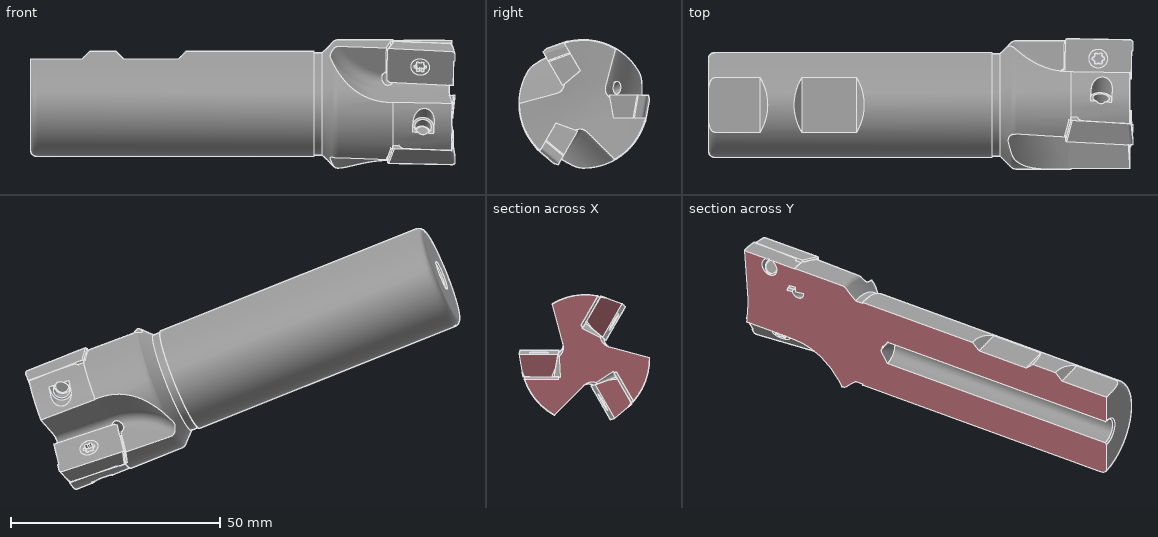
import cadquery as cq
import math

TOTAL_LENGTH = 101.5

SHANK_RADIUS = 12.6
SHANK_LENGTH = 67.8
SHANK_END_ROUND = 1.6
FLAT_HEIGHT = 10.8
END_FLAT_LENGTH = 12.4
MIDDLE_FLAT_START = 22.3
MIDDLE_FLAT_LENGTH = 13.1

BORE_RADIUS = 3.1
BORE_CHAMFER = 0.4
BORE_DEPTH = 60.9
BORE_TIP_ANGLE = 118.0
BRANCH_RADIUS = 1.4
BRANCH_START = (60.9, 1.2, 0.9)
BRANCH_DIRECTION = (20.0, 8.0, 3.5)
BRANCH_LENGTH = 24.4

NECK_RADIUS = 12.3
NECK_END = 69.8
HEAD_DIAMETER = 30.8
HEAD_RADIUS = HEAD_DIAMETER / 2
HEAD_EDGE_ROUND = 1.5
POCKET_ZONE_START = 86.7
RIM_RADIUS = 15.2
HEAD_END = 100.7
HEAD_DISH_DEPTH = 1.0

STATION_COUNT = 3
AXIAL_RAKE = 4.0
SCREW_Y = 11.1
FACE_HEIGHT = 1.5

GASH_STEP = 1.0
GASH_FILLET = 2.6
GASH_FILLET_Y = 7.9
GASH_WALL_ANGLE = 75.0
GASH_RUNOUT_RADIUS = 14.5
GASH_OUTER_Y = 20.3
GASH_TOP = 16.2

INSERT_REAR = 7.9
INSERT_FRONT = 8.0
INSERT_HALF_WIDTH = 4.7
INSERT_THICKNESS = 5.4
INSERT_YAW = 1.0
WIPER_LENGTH = 2.4
WIPER_STEP = 0.3
FRONT_CORNER_RADIUS = 0.8
REAR_CORNER = 0.3
INNER_CORNER = 0.6
CLEARANCE = 10.0

POCKET_REAR_GAP = 0.5
POCKET_TOP = 3.0
CORNER_RELIEF_RADIUS = 1.5
GROOVE_WIDTH = 2.2
GROOVE_DEPTH = 0.7

SCREW_HEAD_RADIUS = 2.2
SCREW_HEAD_HEIGHT = 1.0
SCREW_DIAMETER = 4.0
SCREW_RADIUS = SCREW_DIAMETER / 2
SCREW_LENGTH = 7.1
SCREW_END_CHAMFER = 0.4
LOBE_COUNT = 6
SOCKET_CORE_RADIUS = 1.1
LOBE_RADIUS = 0.36
SOCKET_DEPTH = 1.5
COUNTERBORE_RADIUS = 2.5
COUNTERBORE_DEPTH = 9.8
HOLE_END_DEPTH = 20.3


def tan_deg(angle):
    return math.tan(math.radians(angle))


SEAT_INSET = INSERT_THICKNESS * tan_deg(CLEARANCE)

YAW = math.radians(INSERT_YAW)
CORNER_REACH = (
    (INSERT_FRONT + WIPER_STEP - FRONT_CORNER_RADIUS) * math.cos(YAW)
    + (INSERT_HALF_WIDTH - FRONT_CORNER_RADIUS) * math.sin(YAW)
    + FRONT_CORNER_RADIUS
)
SCREW_X = TOTAL_LENGTH - CORNER_REACH * math.cos(math.radians(AXIAL_RAKE))


def station_location(index):
    """Station frame of one cutting edge, turned around X."""
    turn = cq.Location(cq.Vector(0, 0, 0), cq.Vector(1, 0, 0), index * 360.0 / STATION_COUNT)
    seat = cq.Location(cq.Vector(SCREW_X, 0, FACE_HEIGHT), cq.Vector(0, 1, 0), -AXIAL_RAKE)
    return turn * seat


def insert_outline(workplane, rear, inset):
    """Insert outline around the screw axis, moved in on every side by the inset."""
    outer = INSERT_HALF_WIDTH - inset
    back = inset - rear
    front = INSERT_FRONT - inset
    wiper = front + WIPER_STEP
    wiper_end = outer - WIPER_LENGTH
    corner_x = wiper - FRONT_CORNER_RADIUS
    corner_y = outer - FRONT_CORNER_RADIUS
    diagonal = FRONT_CORNER_RADIUS * math.sqrt(0.5)
    return (
        workplane
        .moveTo(back, INNER_CORNER - outer)
        .lineTo(back + INNER_CORNER, -outer)
        .lineTo(front, -outer)
        .lineTo(front, wiper_end - WIPER_STEP)
        .lineTo(wiper, wiper_end)
        .lineTo(wiper, corner_y)
        .threePointArc((corner_x + diagonal, corner_y + diagonal), (corner_x, outer))
        .lineTo(back + REAR_CORNER, outer)
        .lineTo(back, outer - REAR_CORNER)
        .close()
    )


def seated(part):
    """Turn a part by the insert yaw and move it onto the screw axis."""
    return part.rotate((0, 0, 0), (0, 0, 1), -INSERT_YAW).translate((0, SCREW_Y, 0))


def insert_blank(rear):
    """Insert without its hole: its flanks draw in towards the seat."""
    face = insert_outline(cq.Workplane("XY"), rear, 0)
    seat = insert_outline(face.workplane(offset=-INSERT_THICKNESS), rear, SEAT_INSET)
    return seated(seat.loft(ruled=True))


def pocket_cutter():
    """Seat of the insert, with a rear gap, a corner relief and a groove under the rear end."""
    rear = INSERT_REAR + POCKET_REAR_GAP
    mouth = seated(insert_outline(cq.Workplane("XY"), rear, 0).extrude(POCKET_TOP))
    side_opening = insert_blank(rear).translate((0, SEAT_INSET, 0))
    relief_inset = CORNER_RELIEF_RADIUS / 2
    corner_relief = seated(
        cq.Workplane("XY", origin=(0, 0, -INSERT_THICKNESS))
        .center(relief_inset - rear, relief_inset - INSERT_HALF_WIDTH)
        .circle(CORNER_RELIEF_RADIUS)
        .extrude(INSERT_THICKNESS + POCKET_TOP)
    )
    groove_start = SEAT_INSET - INSERT_REAR
    groove_end = groove_start + GROOVE_WIDTH
    groove = (
        cq.Workplane("XZ", origin=(0, SCREW_Y - INSERT_HALF_WIDTH, 0))
        .moveTo(groove_start, -INSERT_THICKNESS)
        .lineTo(groove_end, -INSERT_THICKNESS)
        .lineTo(groove_end - GROOVE_DEPTH, -INSERT_THICKNESS - GROOVE_DEPTH)
        .lineTo(groove_start, -INSERT_THICKNESS - GROOVE_DEPTH)
        .close()
        .extrude(-3 * INSERT_HALF_WIDTH)
    )
    return insert_blank(rear).union(side_opening).union(mouth).union(corner_relief).union(groove)


def screw_blank():
    """Screw without its socket: flush head, conical seat, plain shank."""
    seat_end = SCREW_HEAD_HEIGHT + SCREW_HEAD_RADIUS - SCREW_RADIUS
    return (
        cq.Workplane("XZ")
        .moveTo(0, 0)
        .lineTo(SCREW_HEAD_RADIUS, 0)
        .lineTo(SCREW_HEAD_RADIUS, -SCREW_HEAD_HEIGHT)
        .lineTo(SCREW_RADIUS, -seat_end)
        .lineTo(SCREW_RADIUS, SCREW_END_CHAMFER - SCREW_LENGTH)
        .lineTo(SCREW_RADIUS - SCREW_END_CHAMFER, -SCREW_LENGTH)
        .lineTo(0, -SCREW_LENGTH)
        .close()
        .revolve(360, (0, 0, 0), (0, 1, 0))
        .translate((0, SCREW_Y, 0))
    )


def socket_cutter():
    """Six-lobed drive socket."""
    lobes = (
        cq.Workplane("XY")
        .polarArray(SOCKET_CORE_RADIUS, 0, 360, LOBE_COUNT)
        .circle(LOBE_RADIUS)
        .extrude(-SOCKET_DEPTH)
    )
    core = cq.Workplane("XY").circle(SOCKET_CORE_RADIUS).extrude(-SOCKET_DEPTH)
    return core.union(lobes).translate((0, SCREW_Y, 0))


def screw_hole_cutter():
    """Hole along the screw axis to a shoulder, then a wider slot that opens outwards."""
    hole = cq.Workplane("XY").center(0, SCREW_Y).circle(SCREW_RADIUS).extrude(-COUNTERBORE_DEPTH)
    counterbore = (
        cq.Workplane("XY", origin=(0, SCREW_Y, -COUNTERBORE_DEPTH))
        .circle(COUNTERBORE_RADIUS)
        .extrude(COUNTERBORE_DEPTH - HOLE_END_DEPTH)
    )
    slot = (
        cq.Workplane("XY", origin=(0, SCREW_Y, -COUNTERBORE_DEPTH))
        .rect(2 * COUNTERBORE_RADIUS, HEAD_RADIUS, centered=(True, False))
        .extrude(COUNTERBORE_DEPTH - HOLE_END_DEPTH)
    )
    return hole.union(counterbore).union(slot)


def gash_section(x):
    """Cross-section of the gash at x: flat face, fillet and leaning wall."""
    wall = math.radians(GASH_WALL_ANGLE)
    centre_y = GASH_FILLET_Y
    centre_z = GASH_FILLET - GASH_STEP
    arc_middle = (
        centre_y - GASH_FILLET * math.cos(wall / 2),
        centre_z - GASH_FILLET * math.sin(wall / 2),
    )
    wall_start = (
        centre_y - GASH_FILLET * math.sin(wall),
        centre_z + GASH_FILLET * math.cos(wall),
    )
    wall_end = (wall_start[0] + (GASH_TOP - wall_start[1]) / math.tan(wall), GASH_TOP)
    return (
        cq.Workplane("YZ", origin=(x, 0, 0))
        .moveTo(GASH_OUTER_Y, -GASH_STEP)
        .lineTo(GASH_FILLET_Y, -GASH_STEP)
        .threePointArc(arc_middle, wall_start)
        .lineTo(*wall_end)
        .lineTo(GASH_OUTER_Y, GASH_TOP)
        .close()
    )


def gash_cutter():
    """Straight gash at the front that runs out of the head along an arc at the rear."""
    bend_x = POCKET_ZONE_START - SCREW_X
    axis_y = GASH_FILLET_Y + GASH_RUNOUT_RADIUS
    straight = gash_section(bend_x).extrude(TOTAL_LENGTH - POCKET_ZONE_START)
    runout = gash_section(bend_x).revolve(90, (axis_y, 1, 0), (axis_y, 0, 0))
    return straight.union(runout)


def shank():
    return (
        cq.Workplane("YZ")
        .circle(SHANK_RADIUS)
        .extrude(SHANK_LENGTH)
        .faces("<X").edges().fillet(SHANK_END_ROUND)
    )


def head():
    """Neck, 45-degree shoulder with a rounded edge, and the head with a dished front."""
    shoulder_end = NECK_END + HEAD_RADIUS - NECK_RADIUS
    return (
        cq.Workplane("XY")
        .moveTo(SHANK_LENGTH, 0)
        .lineTo(SHANK_LENGTH, NECK_RADIUS)
        .lineTo(NECK_END, NECK_RADIUS)
        .lineTo(shoulder_end, HEAD_RADIUS)
        .lineTo(POCKET_ZONE_START, HEAD_RADIUS)
        .lineTo(POCKET_ZONE_START, RIM_RADIUS)
        .lineTo(HEAD_END, RIM_RADIUS)
        .lineTo(HEAD_END - HEAD_DISH_DEPTH, 0)
        .close()
        .revolve(360, (0, 0, 0), (1, 0, 0))
        .edges(cq.selectors.NearestToPointSelector((shoulder_end, 0, 0)))
        .fillet(HEAD_EDGE_ROUND)
    )


def weldon_flat_cutter(start, end):
    """Flat across the top of the shank between start and end, with 45-degree ends."""
    rise = SHANK_RADIUS - FLAT_HEIGHT
    return (
        cq.Workplane("XZ")
        .moveTo(start, FLAT_HEIGHT)
        .lineTo(end, FLAT_HEIGHT)
        .lineTo(end + rise, SHANK_RADIUS)
        .lineTo(start - rise, SHANK_RADIUS)
        .close()
        .extrude(SHANK_RADIUS, both=True)
    )


def bore_cutter():
    """Chamfered coolant bore with a drilled bottom and one oblique branch."""
    tip = BORE_RADIUS / tan_deg(BORE_TIP_ANGLE / 2)
    bore = (
        cq.Workplane("XY")
        .moveTo(0, 0)
        .lineTo(0, BORE_RADIUS + BORE_CHAMFER)
        .lineTo(BORE_CHAMFER, BORE_RADIUS)
        .lineTo(BORE_DEPTH, BORE_RADIUS)
        .lineTo(BORE_DEPTH + tip, 0)
        .close()
        .revolve(360, (0, 0, 0), (1, 0, 0))
    )
    branch = cq.Solid.makeCylinder(
        BRANCH_RADIUS, BRANCH_LENGTH, cq.Vector(*BRANCH_START), cq.Vector(*BRANCH_DIRECTION)
    )
    return bore.union(cq.Workplane(branch))


def tool_body():
    body = shank().union(head())
    body = body.cut(weldon_flat_cutter(0, END_FLAT_LENGTH))
    body = body.cut(weldon_flat_cutter(MIDDLE_FLAT_START, MIDDLE_FLAT_START + MIDDLE_FLAT_LENGTH))
    body = body.cut(bore_cutter())
    station_cutters = [gash_cutter().val(), pocket_cutter().val(), screw_hole_cutter().val()]
    for index in range(STATION_COUNT):
        for cutter in station_cutters:
            body = body.cut(cq.Workplane(cutter.moved(station_location(index))))
    return body


def insert():
    return insert_blank(INSERT_REAR).cut(screw_blank())


def screw():
    return screw_blank().cut(socket_cutter())


body = tool_body()
inserts = [insert().val().moved(station_location(index)) for index in range(STATION_COUNT)]
screws = [screw().val().moved(station_location(index)) for index in range(STATION_COUNT)]

result = cq.Compound.makeCompound([body.val(), *inserts, *screws])